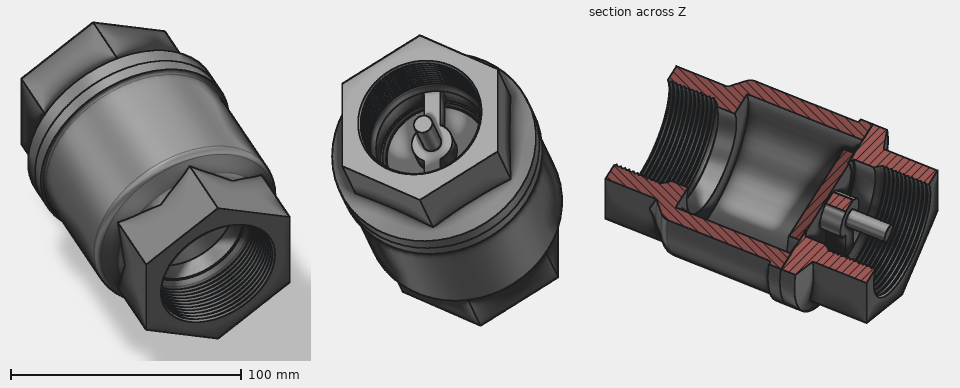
import cadquery as cq
import math


overall_length = 127.0
end_x = overall_length / 2
hex_across_flats = 69.0
hex_apothem = hex_across_flats / 2
hex_corner_radius = hex_apothem / math.cos(math.radians(30))
thread_pitch = 2.0
thread_turns = 12
thread_root_radius = 27.4
thread_crest_radius = 26.5
port_cone_radius = 24.9
port_cone_x = 38.0

flange_diameter = 90.5
flange_radius = flange_diameter / 2
joint_x = -26.8
cap_rim_x = -33.9
cap_cone_x = -37.7
body_flange_end_x = -21.0

barrel_radius = 43.4
flange_root_fillet = 1.1
shoulder_start_x = 29.1
shoulder_angle = math.radians(45)
shoulder_blend = 5.2
shoulder_end_x = 41.9
cavity_radius = 35.5

bridge_arm_width = 7.1
hub_radius = 9.0
bridge_corner_radius = 1.1
throat_radius = 24.0
throat_lip_radius = 22.9
throat_lip_length = 1.3
throat_lip_x = joint_x - throat_lip_length
bridge_thickness = throat_lip_x + port_cone_x

stem_radius = 4.1
stem_tip_x = -56.9
poppet_face_radius = 22.4
poppet_face_height = 0.6
poppet_disc_radius = 28.0
poppet_disc_thickness = 5.1


def revolve_about_x(profile):
    return profile.close().revolve(360, (0, 0, 0), (1, 0, 0))


def cylinder_x(radius, start_x, finish_x):
    return cq.Workplane("YZ", origin=(start_x, 0, 0)).circle(radius).extrude(finish_x - start_x)


def hexagon(start_x, finish_x):
    """Hexagonal bar with corners at the top and bottom."""
    angles = [math.radians(90 + 60 * corner) for corner in range(6)]
    corners = [(hex_corner_radius * math.cos(a), hex_corner_radius * math.sin(a)) for a in angles]
    return cq.Workplane("YZ", origin=(start_x, 0, 0)).polyline(corners).close().extrude(finish_x - start_x)


def inlet_port():
    """Cutter for the port at -X: ring-shaped V threads, then a cone narrowing to the bridge."""
    outline = [(-end_x, 0), (-end_x, thread_root_radius)]
    for turn in range(thread_turns):
        root_x = -end_x + turn * thread_pitch
        if turn > 0:
            outline.append((root_x, thread_root_radius))
        outline.append((root_x + thread_pitch / 2, thread_crest_radius))
    outline += [(-port_cone_x, port_cone_radius), (-port_cone_x, 0)]
    return revolve_about_x(cq.Workplane("XY").polyline(outline))


def outlet_port():
    """Matching cutter for the port at +X."""
    return inlet_port().mirror("YZ")


def bridge_openings():
    """The two passages left and right of the guide bridge, with rounded corners."""
    arms = (
        cq.Workplane("YZ", origin=(-port_cone_x, 0, 0))
        .rect(bridge_arm_width, 2 * thread_root_radius)
        .extrude(bridge_thickness)
    )
    hub = cylinder_x(hub_radius, -port_cone_x, throat_lip_x)
    passages = cylinder_x(port_cone_radius, -port_cone_x, throat_lip_x).cut(arms.union(hub))
    return passages.edges("|X").fillet(bridge_corner_radius)


def throat_lip():
    """Tapered opening between the bridge and the joint plane."""
    return revolve_about_x(
        cq.Workplane("XY")
        .moveTo(throat_lip_x, 0)
        .lineTo(throat_lip_x, throat_radius)
        .lineTo(joint_x, throat_lip_radius)
        .lineTo(joint_x, 0)
    )


def make_cap():
    flange = revolve_about_x(
        cq.Workplane("XY")
        .moveTo(cap_cone_x, 0)
        .lineTo(cap_cone_x, hex_apothem)
        .lineTo(cap_rim_x, flange_radius)
        .lineTo(joint_x, flange_radius)
        .lineTo(joint_x, 0)
    )
    cap = flange.union(hexagon(-end_x, cap_rim_x))
    cap = cap.cut(inlet_port()).cut(bridge_openings()).cut(throat_lip())
    return cap.cut(cylinder_x(stem_radius, -end_x, joint_x))


def body_exterior():
    """Flange with root fillet, barrel and the 45 degree shoulder blended into the hexagon."""
    blend_run = shoulder_blend * math.sin(shoulder_angle)
    blend_drop = shoulder_blend * (1 - math.cos(shoulder_angle))
    half_run = shoulder_blend * math.sin(shoulder_angle / 2)
    half_drop = shoulder_blend * (1 - math.cos(shoulder_angle / 2))
    turned = revolve_about_x(
        cq.Workplane("XY")
        .moveTo(joint_x, 0)
        .lineTo(joint_x, flange_radius)
        .lineTo(body_flange_end_x, flange_radius)
        .lineTo(body_flange_end_x, barrel_radius + flange_root_fillet)
        .radiusArc((body_flange_end_x + flange_root_fillet, barrel_radius), -flange_root_fillet)
        .lineTo(shoulder_start_x, barrel_radius)
        .threePointArc(
            (shoulder_start_x + half_run, barrel_radius - half_drop),
            (shoulder_start_x + blend_run, barrel_radius - blend_drop),
        )
        .lineTo(shoulder_end_x - blend_run, hex_apothem + blend_drop)
        .threePointArc(
            (shoulder_end_x - half_run, hex_apothem + half_drop),
            (shoulder_end_x, hex_apothem),
        )
        .lineTo(shoulder_end_x, 0)
    )
    return turned.union(hexagon(shoulder_start_x, end_x))


def make_body():
    cavity = cylinder_x(cavity_radius, joint_x, shoulder_start_x)
    outlet_throat = cylinder_x(throat_radius, shoulder_start_x, port_cone_x)
    return body_exterior().cut(cavity).cut(outlet_throat).cut(outlet_port())


def make_poppet():
    """Disc resting on the cap, a raised face inside the throat lip, and the stem in the hub."""
    disc = cylinder_x(poppet_disc_radius, joint_x, joint_x + poppet_disc_thickness)
    face = cylinder_x(poppet_face_radius, joint_x - poppet_face_height, joint_x)
    stem = cylinder_x(stem_radius, stem_tip_x, joint_x)
    return disc.union(face).union(stem)


cap = make_cap()
body = make_body()
poppet = make_poppet()

result = cq.Compound.makeCompound([cap.val(), body.val(), poppet.val()])